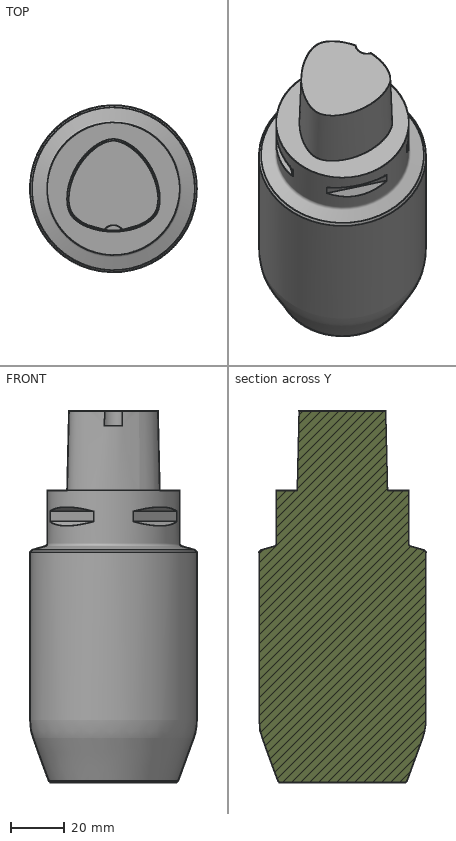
import cadquery as cq
import math

shank_height = 30.0
bottom_z = shank_height - 140.0
neck_height = 19.9

body_radius = 63.0 / 2
neck_radius = 50.0 / 2
neck_fillet = 1.1
shoulder_angle = math.radians(16)
shoulder_edge_width = 0.8
shoulder_edge_height = 0.8
nose_height = 23.5
nose_blend_height = 6.7
nose_angle = math.radians(20)
nose_edge = 0.7

shank_base_width = 35.0
shank_top_width = 33.6
eccentricity = 1.3
flank_half_angle = 23.0
lobe_count = 3
points_per_segment = 7

notch_radius = 4.2
notch_inner_y = -13.7
notch_depth = 5.6

groove_count = 4
groove_floor = 22.1
groove_floor_height = 3.8
groove_center_z = -9.8
groove_side_angle = math.radians(30)


def make_body():
    neck_bottom_z = -neck_height

    fillet_sweep = math.pi / 2 - shoulder_angle

    def fillet_point(sweep):
        return (
            neck_radius + neck_fillet * (1 - math.cos(sweep)),
            neck_bottom_z - neck_fillet * math.sin(sweep),
        )

    fillet_middle = fillet_point(fillet_sweep / 2)
    fillet_end = fillet_point(fillet_sweep)
    shoulder_radius = body_radius - shoulder_edge_width
    shoulder_height = (shoulder_radius - fillet_end[0]) * math.tan(shoulder_angle)
    shoulder_bottom_z = fillet_end[1] - shoulder_height
    body_top_z = shoulder_bottom_z - shoulder_edge_height
    nose_top_z = bottom_z + nose_height
    cone_top_z = nose_top_z - nose_blend_height

    blend_radius = nose_blend_height / math.sin(nose_angle)
    cone_radius = body_radius - blend_radius * (1 - math.cos(nose_angle))
    blend_middle = (
        body_radius - blend_radius * (1 - math.cos(nose_angle / 2)),
        nose_top_z - blend_radius * math.sin(nose_angle / 2),
    )
    cone_height = cone_top_z - bottom_z - nose_edge
    nose_radius = cone_radius - cone_height * math.tan(nose_angle)

    return (
        cq.Workplane("XZ")
        .moveTo(0, 0)
        .lineTo(neck_radius, 0)
        .lineTo(neck_radius, neck_bottom_z)
        .threePointArc(fillet_middle, fillet_end)
        .lineTo(shoulder_radius, shoulder_bottom_z)
        .lineTo(body_radius, body_top_z)
        .lineTo(body_radius, nose_top_z)
        .threePointArc(blend_middle, (cone_radius, cone_top_z))
        .lineTo(nose_radius, bottom_z + nose_edge)
        .lineTo(nose_radius - nose_edge, bottom_z)
        .lineTo(0, bottom_z)
        .close()
        .revolve(360, (0, 0, 0), (0, 1, 0))
    )


def shank_point(width, normal_angle, z):
    """Point on a constant-width three-lobed curve with a lobe toward +Y."""
    angle = math.radians(normal_angle)
    phase = lobe_count * (angle - math.pi / 2)
    reach = width / 2 + eccentricity * math.cos(phase)
    reach_slope = -lobe_count * eccentricity * math.sin(phase)
    x = reach * math.cos(angle) - reach_slope * math.sin(angle)
    y = reach * math.sin(angle) + reach_slope * math.cos(angle)
    return cq.Vector(x, y, z)


def shank_edge(width, start_angle, end_angle, z):
    step = (end_angle - start_angle) / (points_per_segment - 1)
    angles = [start_angle + i * step for i in range(points_per_segment)]
    tangents = [
        cq.Vector(-math.sin(math.radians(a)), math.cos(math.radians(a)), 0)
        for a in (start_angle, end_angle)
    ]
    return cq.Edge.makeSpline([shank_point(width, a, z) for a in angles], tangents)


def shank_wire(width, z):
    pitch = 360 / lobe_count
    edges = []
    for i in range(lobe_count):
        flank_center = -90 + i * pitch
        flank_start = flank_center - flank_half_angle
        flank_end = flank_center + flank_half_angle
        edges.append(shank_edge(width, flank_start, flank_end, z))
        edges.append(shank_edge(width, flank_end, flank_start + pitch, z))
    return cq.Wire.assembleEdges(edges)


def make_shank():
    base = shank_wire(shank_base_width, 0)
    top = shank_wire(shank_top_width, shank_height)
    return cq.Workplane(obj=cq.Solid.makeLoft([base, top], True))


def make_notch():
    return (
        cq.Workplane("XY", origin=(0, notch_inner_y - notch_radius, shank_height))
        .circle(notch_radius)
        .extrude(-notch_depth)
    )


def make_groove():
    """Flared groove cutter, facing +X and longer than the neck chord."""
    depth = body_radius - groove_floor
    inner_half = groove_floor_height / 2
    outer_half = inner_half + depth * math.tan(groove_side_angle)
    return (
        cq.Workplane("XZ", origin=(0, 0, groove_center_z))
        .polyline([
            (groove_floor, -inner_half),
            (body_radius, -outer_half),
            (body_radius, outer_half),
            (groove_floor, inner_half),
        ])
        .close()
        .extrude(neck_radius, both=True)
    )


result = make_body().union(make_shank()).cut(make_notch())
for i in range(groove_count):
    turn = (i + 0.5) * 360 / groove_count
    result = result.cut(make_groove().rotate((0, 0, 0), (0, 0, 1), turn))